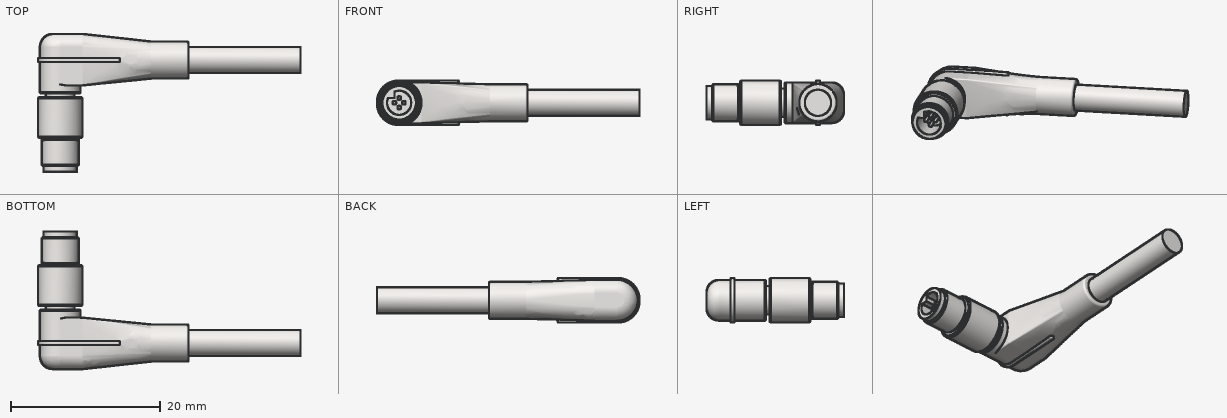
import cadquery as cq
import math


body_radius = 2.75
body_top = 3.52
dome_radius = 1.75
arm_bottom = -3.42
arm_edge_radius = 0.18
arm_length = 3.0
collar_bottom = -4.5
edge_chamfer = 0.2

boot_radius = 2.5
boot_start = 12.23
boot_end = 17.25
boot_edge_radius = 0.28
cable_radius = 1.75
cable_end = 32.25

upper_rounding = (23, 55)
lower_rounding = (137, 141)

rib_radius = 3.0
rib_width = 0.55
rib_end = 8.0
rib_edge_radius = 0.18

neck_radius = 1.95
sleeve_radius = 3.0
sleeve_top = -4.95
sleeve_bottom = -10.47
groove_radius = 2.22
nose_radius = 2.5
nose_top = -10.75
nose_bottom = -14.2
tip_radius = 2.25
overall_depth = 18.5
tip_bottom = body_top - overall_depth

socket_radius = 1.62
socket_depth = 4.23
key_side = -0.65
key_underside = 0.67
pin_count = 4
pin_radius = 0.25
pin_offset = 0.65
pin_length = 3.25
pin_tip_rounding = 0.2


def polar(radius, degrees, center=(0, 0)):
    angle = math.radians(degrees)
    return (center[0] + radius * math.cos(angle), center[1] + radius * math.sin(angle))


def make_arm_section(section):
    """Rounded rectangle with large upper and small lower roundings."""
    upper_y = body_top - dome_radius
    upper_z = body_radius - dome_radius
    lower_y = arm_bottom + arm_edge_radius
    lower_z = body_radius - arm_edge_radius
    corners = [
        ((upper_y, upper_z), dome_radius),
        ((lower_y, lower_z), arm_edge_radius),
        ((lower_y, -lower_z), arm_edge_radius),
        ((upper_y, -upper_z), dome_radius),
    ]
    section = section.moveTo(*polar(dome_radius, 0, corners[0][0]))
    for index, (center, radius) in enumerate(corners):
        if index > 0:
            section = section.lineTo(*polar(radius, 90 * index, center))
        middle = polar(radius, 90 * index + 45, center)
        end = polar(radius, 90 * index + 90, center)
        section = section.threePointArc(middle, end)
    return section.close()


def make_boot_section(section):
    """Boot circle, divided into eight arcs that pair up with the arm section."""
    half = [*upper_rounding, *lower_rounding]
    angles = half + [360 - angle for angle in reversed(half)]
    section = section.moveTo(*polar(boot_radius, angles[0]))
    for start, end in zip(angles, angles[1:] + [angles[0] + 360]):
        middle = polar(boot_radius, (start + end) / 2)
        section = section.threePointArc(middle, polar(boot_radius, end))
    return section.close()


def make_plug():
    """Turned profile from the elbow dome down to the plug tip."""
    dome_center = (body_radius - dome_radius, body_top - dome_radius)
    profile = (
        cq.Workplane("XY")
        .moveTo(0, body_top)
        .lineTo(dome_center[0], body_top)
        .threePointArc(polar(dome_radius, 45, dome_center), (body_radius, dome_center[1]))
        .lineTo(body_radius, collar_bottom + edge_chamfer)
        .lineTo(body_radius - edge_chamfer, collar_bottom)
        .lineTo(neck_radius, collar_bottom)
        .lineTo(neck_radius, sleeve_top)
        .lineTo(sleeve_radius - edge_chamfer, sleeve_top)
        .lineTo(sleeve_radius, sleeve_top - edge_chamfer)
        .lineTo(sleeve_radius, sleeve_bottom + edge_chamfer)
        .lineTo(sleeve_radius - edge_chamfer, sleeve_bottom)
        .lineTo(groove_radius, sleeve_bottom)
        .lineTo(groove_radius, nose_top)
        .lineTo(nose_radius, nose_top)
        .lineTo(nose_radius, nose_bottom + edge_chamfer)
        .lineTo(nose_radius - edge_chamfer, nose_bottom)
        .lineTo(tip_radius, nose_bottom)
        .lineTo(tip_radius, tip_bottom)
        .lineTo(0, tip_bottom)
        .close()
    )
    return profile.revolve(360, (0, 0), (0, 1))


def make_arm():
    """Straight arm, then a taper that blends it into the round boot."""
    straight = make_arm_section(cq.Workplane("YZ")).extrude(arm_length)
    taper = make_arm_section(cq.Workplane("YZ", origin=(arm_length, 0, 0)))
    taper = make_boot_section(taper.workplane(offset=boot_start - arm_length))
    return straight.union(taper.loft(ruled=True))


def make_cable():
    boot = (
        cq.Workplane("YZ", origin=(boot_start, 0, 0))
        .circle(boot_radius)
        .extrude(boot_end - boot_start)
        .faces(">X")
        .fillet(boot_edge_radius)
    )
    cable = cq.Workplane("YZ", origin=(boot_start, 0, 0)).circle(cable_radius)
    return boot.union(cable.extrude(cable_end - boot_start))


def make_rib():
    """Flat band with rounded edges and a round end that follows the elbow."""
    return (
        cq.Workplane("XZ", origin=(0, rib_width / 2, 0))
        .moveTo(0, rib_radius)
        .threePointArc((-rib_radius, 0), (0, -rib_radius))
        .lineTo(rib_end, -rib_radius)
        .lineTo(rib_end, rib_radius)
        .close()
        .extrude(rib_width)
        .edges("<Y or >Y or >X")
        .fillet(rib_edge_radius)
    )


def make_socket():
    """Round socket space, less the square key in its upper left quarter."""
    tip = cq.Workplane("XZ", origin=(0, tip_bottom, 0))
    bore = tip.circle(socket_radius).extrude(-socket_depth)
    key = (
        tip.moveTo(key_side, key_underside)
        .rect(-socket_radius, socket_radius, centered=False)
        .extrude(-socket_depth)
    )
    return bore.cut(key)


def make_pins():
    """Four contacts with rounded tips on the socket floor."""
    return (
        cq.Workplane("XZ", origin=(0, tip_bottom + socket_depth, 0))
        .polarArray(pin_offset, 0, 360, pin_count)
        .circle(pin_radius)
        .extrude(pin_length)
        .faces("<Y")
        .edges()
        .fillet(pin_tip_rounding)
    )


housing = make_plug().union(make_arm()).union(make_cable()).union(make_rib())
result = housing.cut(make_socket()).union(make_pins())